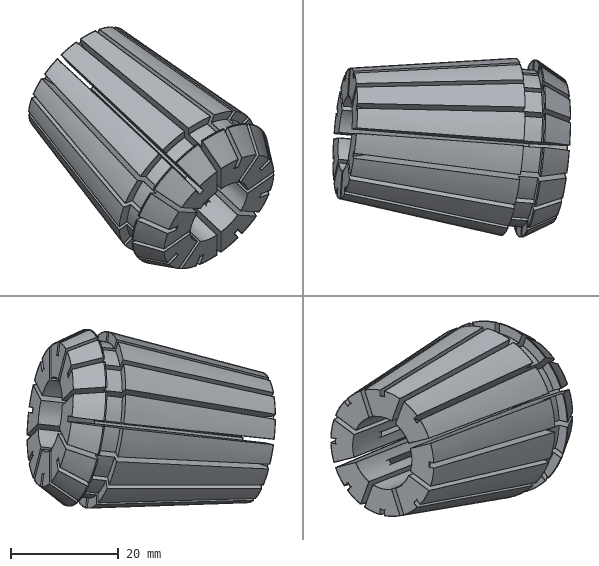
import cadquery as cq
import math

length = 40.0
bore_radius = 7.0
max_radius = 16.5
taper_angle = 8.0
nose_angle = 30.0

groove_start = 30.8
groove_width = 3.65
groove_radius = 14.6
land_width = 0.25

slots_per_set = 8
slot_width = 1.0
slot_pitch = 360.0 / slots_per_set
saw_radius = 30.0
notch_radius = 11.1
rear_slot_depth_radius = 5.8
front_slot_depth_radius = 4.2
saw_clearance = 2.0


def collet_body():
    groove_end = groove_start + groove_width
    nose_start = groove_end + land_width
    front_radius = max_radius - groove_start * math.tan(math.radians(taper_angle))
    rear_radius = max_radius - (length - nose_start) * math.tan(math.radians(nose_angle))
    outline = [
        (0, bore_radius),
        (0, front_radius),
        (groove_start, max_radius),
        (groove_start, groove_radius),
        (groove_end, groove_radius),
        (groove_end, max_radius),
        (nose_start, max_radius),
        (length, rear_radius),
        (length, bore_radius),
    ]
    return cq.Workplane("XY").polyline(outline).close().revolve(360, (0, 0, 0), (1, 0, 0))


def rear_saw_cut(depth_radius):
    """Slot along +Y, open at the rear, whose floor curves outward to the notch in the front face."""
    centre_radius = depth_radius + saw_radius
    run_out = math.sqrt(saw_radius**2 - (centre_radius - notch_radius) ** 2)
    halfway_x = run_out / 2
    halfway_radius = centre_radius - math.sqrt(saw_radius**2 - (run_out - halfway_x) ** 2)
    outer = max_radius + saw_clearance
    return (
        cq.Workplane("XY", origin=(0, 0, -slot_width / 2))
        .moveTo(0, outer)
        .lineTo(0, notch_radius)
        .threePointArc((halfway_x, halfway_radius), (run_out, depth_radius))
        .lineTo(length, depth_radius)
        .lineTo(length, outer)
        .close()
        .extrude(slot_width)
    )


def front_saw_cut(depth_radius):
    """The rear cut reversed end for end: open at the front, notched in the rear face."""
    return rear_saw_cut(depth_radius).mirror("YZ").translate((length, 0, 0))


def cut_around(body, cutter, first_angle):
    for index in range(slots_per_set):
        body = body.cut(cutter.rotate((0, 0, 0), (1, 0, 0), first_angle + index * slot_pitch))
    return body


result = collet_body()
result = cut_around(result, rear_saw_cut(rear_slot_depth_radius), 0)
result = cut_around(result, front_saw_cut(front_slot_depth_radius), slot_pitch / 2)